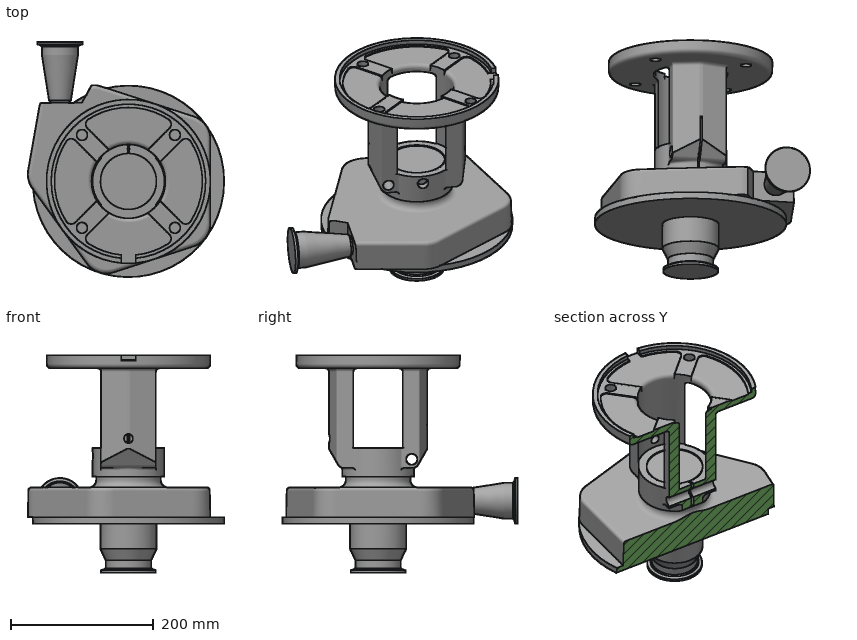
import cadquery as cq
import math


pick_margin = 0.3

plate_radius = 134.3
plate_thickness = 9.2
pipe_radius = 39.5
pipe_end_z = -35.3
suction_radius = 32.0
suction_start_z = -51.0
suction_face_z = -68.5
suction_rim_radius = 38.5

rim_thickness = 3.5
rim_neck_thickness = 5.0
rim_length = 6.5
rim_neck_step = 2.0

casing_top_z = 51.0
casing_apothem = 115.0
casing_corner_radius = 33.5
casing_top_fillet = 5.0
casing_draft = 1.0
outlet_face_y = 110.2
outlet_left_x = -124.0
outlet_right_x = -65.5
outlet_side_angle = 80
outlet_shoulder_angle = 61
outlet_trim = 10.0
outlet_edge_fillet = 4.0
shoulder_radius = 23.0

nozzle_x = -96.0
nozzle_z = 32.5
nozzle_face_y = 195.7
nozzle_tube_radius = 25.5
nozzle_rim_radius = 32.0
nozzle_cone_start_y = 177.0
nozzle_cone_end_y = 113.5
nozzle_throat_radius = 15.5
nozzle_root_radius = 12.2

neck_radius = 45.5
neck_fillet = 10.0
collar_radius = 50.5
collar_bottom_z = 66.0
collar_top_z = 106.5
shaft_radius = 39.3
shaft_recess = 1.5
collar_hole_radius = 7.5
collar_hole_z = 95.0

flange_radius = 115.0
flange_bottom_z = 217.8
flange_top_z = 236.3
flange_edge_fillet = 6.3
bore_radius = 51.8
recess_radius = 108.2
recess_depth = 6.3
pocket_radius = 103.5
pocket_depth = 1.5
pocket_corner_radius = 8.2
bore_lip_radius = 6.0
spoke_width = 24.0
bolt_circle_radius = 92.0
bolt_hole_radius = 7.5
notch_width = 19.8

leg_half_width = 38.5
leg_side_y = 58.0
leg_ridge_y = 69.0
leg_ridge_half_width = 2.3
leg_bottom_z = 78.5
leg_slope_top_z = 105.0
leg_slope_angle = 60
leg_toe_radius = 8.2
leg_edge_fillet = 2.0
leg_root_fillet = 4.5
leg_joint_fillet = 3.3
leg_window_radius = 6.3
leg_window_z = 119.5
slit_width = 2.5
slit_top_z = 138.5
clamp_hole_radius = 7.5
clamp_hole_y = 47.2
clamp_hole_z = 90.5


def cylinder(radius, bottom_z, top_z):
    return cq.Workplane("XY").workplane(offset=bottom_z).circle(radius).extrude(top_z - bottom_z)


def ferrule_profile(rim_radius, tube_radius, face):
    """Points (radius, position) of a clamp rim from its open face to the tube, advancing in +position."""
    return [
        (0, face),
        (rim_radius, face),
        (rim_radius, face + rim_thickness),
        (tube_radius + rim_neck_step, face + rim_neck_thickness),
        (tube_radius, face + rim_length),
    ]


def make_suction_pipe():
    points = ferrule_profile(suction_rim_radius, suction_radius, suction_face_z) + [
        (suction_radius, suction_start_z),
        (pipe_radius, pipe_end_z),
        (pipe_radius, plate_thickness),
        (0, plate_thickness),
    ]
    return cq.Workplane("XZ").polyline(points).close().revolve(360, (0, 0), (0, 1))


def make_nozzle():
    length = nozzle_face_y - outlet_face_y
    points = ferrule_profile(nozzle_rim_radius, nozzle_tube_radius, 0) + [
        (nozzle_tube_radius, nozzle_face_y - nozzle_cone_start_y),
        (nozzle_throat_radius, nozzle_face_y - nozzle_cone_end_y),
        (nozzle_root_radius, length),
        (nozzle_root_radius, length + casing_top_fillet),
        (0, length + casing_top_fillet),
    ]
    nozzle = cq.Workplane("XY").polyline(points).close().revolve(360, (0, 0), (0, 1))
    return nozzle.rotate((0, 0, 0), (1, 0, 0), 180).translate((nozzle_x, nozzle_face_y, nozzle_z))


def side_line(normal_angle):
    """Point and direction of one pentagon side, given the angle of its outward normal."""
    a = math.radians(normal_angle)
    point = (casing_apothem * math.cos(a), casing_apothem * math.sin(a))
    return point, normal_angle + 90


def crossing(first, second):
    """Crossing point of two lines, each a point and a direction angle."""
    (x1, y1), angle1 = first
    (x2, y2), angle2 = second
    a1 = math.radians(angle1)
    a2 = math.radians(angle2)
    along = ((x2 - x1) * math.sin(a2) - (y2 - y1) * math.cos(a2)) / math.sin(a2 - a1)
    return (x1 + along * math.cos(a1), y1 + along * math.sin(a1))


def point_at_height(line, y):
    """Point of a line at the given Y."""
    return crossing(line, ((0, y), 0))


def make_casing():
    lower_left, lower_right, right, upper = [side_line(angle) for angle in (-144, -72, 0, 72)]
    outlet_side = ((outlet_left_x, outlet_face_y), outlet_side_angle)
    shoulder = ((outlet_right_x, outlet_face_y), outlet_shoulder_angle)
    rough_face_y = outlet_face_y + outlet_trim
    rough_shoulder = ((outlet_right_x - outlet_trim, outlet_face_y), outlet_shoulder_angle)
    shoulder_corner = crossing(upper, rough_shoulder)
    pentagon_corners = [
        crossing(outlet_side, lower_left),
        crossing(lower_left, lower_right),
        crossing(lower_right, right),
        crossing(right, upper),
    ]
    outline = [
        point_at_height(outlet_side, rough_face_y),
        *pentagon_corners,
        shoulder_corner,
        point_at_height(rough_shoulder, rough_face_y),
    ]
    height = casing_top_z - plate_thickness
    middle_z = plate_thickness + height / 2
    casing = (
        cq.Workplane("XY").workplane(offset=plate_thickness)
        .polyline(outline).close().extrude(height, taper=casing_draft)
    )
    corner_radii = [(corner, casing_corner_radius) for corner in pentagon_corners]
    corner_radii.append((shoulder_corner, shoulder_radius))
    for (x, y), radius in corner_radii:
        corner_edge = cq.selectors.NearestToPointSelector((x, y, middle_z))
        casing = casing.edges("not #Z").edges(corner_edge).fillet(radius)
    casing = casing.faces(">Z").edges().fillet(casing_top_fillet)

    reach = 2 * plate_radius
    envelope = (
        cq.Workplane("XY").workplane(offset=plate_thickness)
        .polyline([
            point_at_height(outlet_side, -reach),
            (outlet_left_x, outlet_face_y),
            (outlet_right_x, outlet_face_y),
            point_at_height(shoulder, reach),
            (reach, reach),
            (reach, -reach),
        ]).close().extrude(height)
    )
    outlet_edge = cq.selectors.NearestToPointSelector((outlet_left_x, outlet_face_y, middle_z))
    envelope = envelope.edges("|Z").edges(outlet_edge).fillet(outlet_edge_fillet)
    return casing.intersect(envelope)


def make_neck_and_collar():
    return (
        cq.Workplane("XZ").moveTo(0, casing_top_z)
        .lineTo(neck_radius + neck_fillet, casing_top_z)
        .radiusArc((neck_radius, casing_top_z + neck_fillet), neck_fillet)
        .lineTo(neck_radius, collar_bottom_z)
        .lineTo(collar_radius, collar_bottom_z)
        .lineTo(collar_radius, collar_top_z)
        .lineTo(shaft_radius, collar_top_z)
        .lineTo(shaft_radius, collar_top_z - shaft_recess)
        .lineTo(0, collar_top_z - shaft_recess)
        .close().revolve(360, (0, 0), (0, 1))
    )


def make_leg():
    """Leg on the -Y side: a ridged bar with a sloped toe."""
    section = [
        (-leg_half_width, 0),
        (-leg_half_width, -leg_side_y),
        (-leg_ridge_half_width, -leg_ridge_y),
        (leg_ridge_half_width, -leg_ridge_y),
        (leg_half_width, -leg_side_y),
        (leg_half_width, 0),
    ]
    bar = (
        cq.Workplane("XY").workplane(offset=leg_bottom_z)
        .polyline(section).close().extrude(flange_bottom_z - leg_bottom_z)
    )
    middle_z = (leg_bottom_z + flange_bottom_z) / 2
    for x in (-leg_half_width, leg_half_width):
        side_edge = cq.selectors.NearestToPointSelector((x, -leg_side_y, middle_z))
        bar = bar.edges("|Z").edges(side_edge).fillet(leg_edge_fillet)
    toe_run = (leg_slope_top_z - leg_bottom_z) / math.tan(math.radians(leg_slope_angle))
    side_outline = (
        cq.Workplane("YZ").workplane(offset=-leg_half_width)
        .polyline([
            (0, leg_bottom_z),
            (toe_run - leg_ridge_y, leg_bottom_z),
            (-leg_ridge_y, leg_slope_top_z),
            (-leg_ridge_y, flange_bottom_z),
            (0, flange_bottom_z),
        ]).close().extrude(2 * leg_half_width)
    )
    toe = cq.selectors.NearestToPointSelector((0, toe_run - leg_ridge_y, leg_bottom_z))
    side_outline = side_outline.edges("|X").edges(toe).fillet(leg_toe_radius)
    return bar.intersect(side_outline)


def make_flange():
    flange = cylinder(flange_radius, flange_bottom_z, flange_top_z)
    return flange.faces("<Z").edges().fillet(flange_edge_fillet)


def make_pocket(center_angle):
    """Cutter for one shallow pocket between two spokes, rolling over into the bore."""
    spoke_face = flange_top_z - recess_depth
    floor = spoke_face - pocket_depth
    ring = (
        cq.Workplane("XZ").moveTo(0, spoke_face)
        .lineTo(pocket_radius, spoke_face)
        .lineTo(pocket_radius, floor)
        .lineTo(bore_radius + bore_lip_radius, floor)
        .radiusArc((bore_radius, floor - bore_lip_radius), -bore_lip_radius)
        .lineTo(0, floor - bore_lip_radius)
        .close().revolve(360, (0, 0), (0, 1))
    )
    tip_x = spoke_width / math.sqrt(2)
    reach = 2 * pocket_radius
    wedge = (
        cq.Workplane("XY").workplane(offset=floor - bore_lip_radius)
        .polyline([(tip_x, 0), (tip_x + reach, reach), (tip_x + reach, -reach)]).close()
        .extrude(pocket_depth + bore_lip_radius)
    )
    pocket = ring.intersect(wedge)
    outer_corners = cq.selectors.BoxSelector(
        (bore_radius + bore_lip_radius, -reach, floor - pick_margin),
        (reach, reach, spoke_face + pick_margin),
    )
    pocket = pocket.edges("|Z").edges(outer_corners).fillet(pocket_corner_radius)
    return pocket.rotate((0, 0, 0), (0, 0, 1), center_angle)


def cut_flange_details(body):
    spoke_face = flange_top_z - recess_depth
    body = body.cut(cylinder(recess_radius, spoke_face, flange_top_z))
    body = body.cut(cylinder(bore_radius, collar_top_z, flange_top_z))
    for index in range(4):
        body = body.cut(make_pocket(90 * index))
    bolt_holes = (
        cq.Workplane("XY").workplane(offset=flange_bottom_z)
        .polarArray(bolt_circle_radius, 45, 360, 4)
        .circle(bolt_hole_radius).extrude(flange_top_z - flange_bottom_z)
    )
    notch_depth = recess_depth + pocket_depth
    notch = cq.Workplane("XY").box(
        notch_width, flange_radius - bore_radius - bore_lip_radius, notch_depth, centered=(True, False, False)
    ).translate((0, -flange_radius, flange_top_z - notch_depth))
    return body.cut(bolt_holes).cut(notch)


def cut_clamp_details(body):
    window = (
        cq.Workplane("XZ").center(0, leg_window_z).circle(leg_window_radius).extrude(leg_ridge_y)
    )
    slit = cq.Workplane("XY").box(
        slit_width, leg_ridge_y - shaft_radius, slit_top_z - collar_bottom_z, centered=(True, False, False)
    ).translate((0, shaft_radius, collar_bottom_z))
    clamp_hole = (
        cq.Workplane("YZ").center(clamp_hole_y, clamp_hole_z)
        .circle(clamp_hole_radius).extrude(leg_half_width, both=True)
    )
    collar_hole = (
        cq.Workplane("YZ").workplane(offset=-collar_radius).center(0, collar_hole_z)
        .circle(collar_hole_radius).extrude(collar_radius - shaft_radius)
    )
    return body.cut(window).cut(slit).cut(clamp_hole).cut(collar_hole)


def make_stand():
    leg = make_leg()
    stand = make_flange().union(leg).union(leg.mirror("XZ"))
    flange_underside = cq.selectors.BoxSelector(
        (-leg_half_width - pick_margin, -leg_ridge_y - pick_margin, flange_bottom_z - pick_margin),
        (leg_half_width + pick_margin, leg_ridge_y + pick_margin, flange_bottom_z + pick_margin),
    )
    stand = stand.edges(flange_underside).fillet(leg_root_fillet)
    stand = cut_flange_details(stand)
    return stand.cut(cylinder(shaft_radius, leg_bottom_z, flange_bottom_z))


def is_leg_joint(edge):
    """True for the edges where the foot of a leg meets the collar wall."""
    box = edge.BoundingBox()
    middle = edge.positionAt(0.5)
    on_collar = abs(math.hypot(middle.x, middle.y) - collar_radius) < pick_margin
    at_foot = abs(box.zmin - leg_bottom_z) < pick_margin and box.zmax < collar_top_z + pick_margin
    return on_collar and at_foot


pump = cylinder(plate_radius, 0, plate_thickness)
pump = pump.union(make_casing()).union(make_suction_pipe()).union(make_nozzle())
pump = pump.union(make_neck_and_collar()).union(make_stand())

joint_edges = [edge for edge in pump.edges().vals() if is_leg_joint(edge)]
pump = pump.newObject(joint_edges).fillet(leg_joint_fillet)

result = cut_clamp_details(pump)